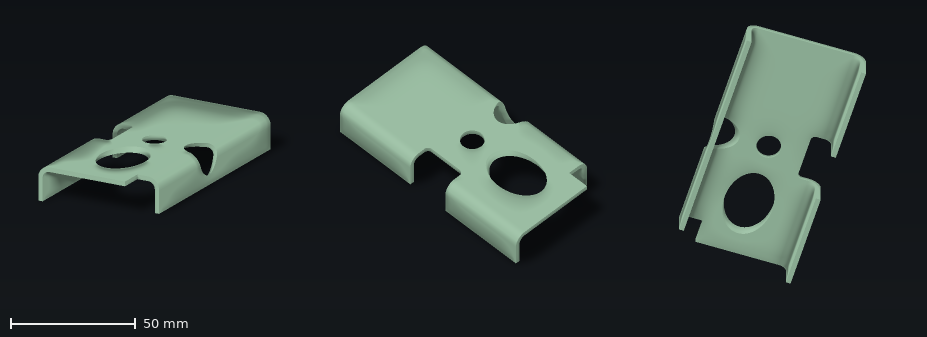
import cadquery as cq

width = 50.0
length = 100.0
height = 15.0
thickness = 2.0
bend_radius = 5.0

notch_length = 20.0
notch_depth = 10.0
notch_corner_radius = 2.0
corner_cut = 10.0
round_hole_diameter = 10.0
tilted_hole_diameter = 20.0
tilted_hole_y = length / 4
edge_hole_diameter = 15.0

middle_x = width / 2
middle_y = length / 2
tool_length = 4 * height


def channel():
    """U-shaped section with rounded bends, extruded along Y."""
    outer = (
        cq.Workplane("XY")
        .box(width, length, height, centered=False)
        .edges("|Y and >Z")
        .fillet(bend_radius)
    )
    inner = (
        cq.Workplane("XY")
        .box(width - 2 * thickness, length, height - thickness, centered=False)
        .translate((thickness, 0, 0))
        .edges("|Y and >Z")
        .fillet(bend_radius - thickness)
    )
    return outer.cut(inner)


def side_notch():
    """Notch through the -X flange, rounded at its inner corners."""
    return (
        cq.Workplane("XY")
        .box(notch_depth, notch_length, height, centered=False)
        .translate((0, middle_y - notch_length / 2, 0))
        .edges("|Z and >X")
        .fillet(notch_corner_radius)
    )


def corner_notch():
    """Square cut that removes the +X, -Y corner with its flange."""
    return (
        cq.Workplane("XY")
        .box(corner_cut, corner_cut, height, centered=False)
        .translate((width - corner_cut, 0, 0))
    )


def drill(diameter, center, direction):
    """Cylinder centred on a point and running both ways along a direction."""
    axis = cq.Vector(*direction).normalized()
    start = cq.Vector(*center) - axis * (tool_length / 2)
    return cq.Workplane(cq.Solid.makeCylinder(diameter / 2, tool_length, start, axis))


result = (
    channel()
    .cut(side_notch())
    .cut(corner_notch())
    .cut(drill(round_hole_diameter, (middle_x, middle_y, height), (0, 0, 1)))
    .cut(drill(tilted_hole_diameter, (middle_x, tilted_hole_y, height), (0, 1, 1)))
    .cut(drill(edge_hole_diameter, (width, middle_y, height), (1, 0, 1)))
)